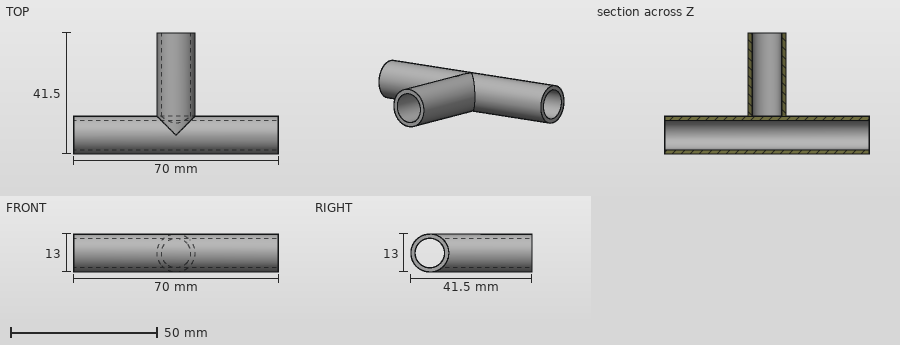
import cadquery as cq

run_length = 70.0
outer_diameter = 13.0
bore_diameter = 10.0
branch_reach = 35.0

outer_radius = outer_diameter / 2
bore_radius = bore_diameter / 2


def make_run():
    """Straight tube along X, centred on the origin."""
    return (
        cq.Workplane("YZ", origin=(-run_length / 2, 0, 0))
        .circle(outer_radius)
        .circle(bore_radius)
        .extrude(run_length)
    )


def make_branch():
    """Tube along +Y, its inner end coped to sit on the outside of the run."""
    tube = (
        cq.Workplane("XZ")
        .circle(outer_radius)
        .circle(bore_radius)
        .extrude(-branch_reach)
    )
    cope = cq.Workplane("YZ", origin=(-run_length / 2, 0, 0)).circle(outer_radius).extrude(run_length)
    return tube.cut(cope).solids()


run = make_run()
branch = make_branch()

result = cq.Compound.makeCompound([run.val(), branch.val()])